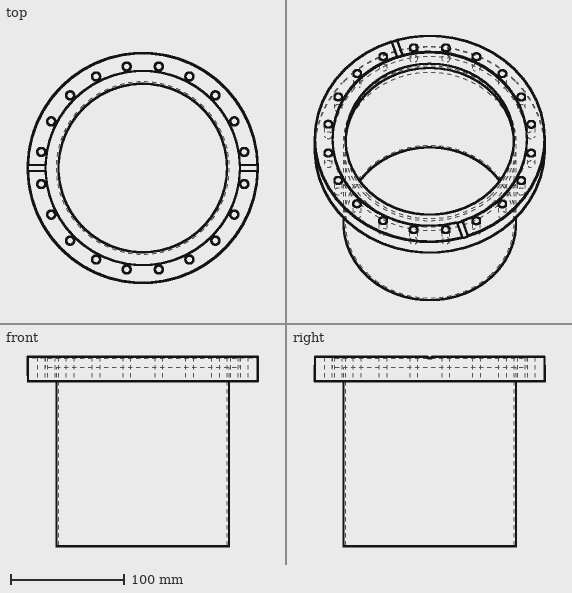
import cadquery as cq

total_height = 167.0
flange_diameter = 203.0
flange_thickness = 22.0
edge_chamfer = 0.5

tube_outer_diameter = 152.5
tube_bore = 148.4

hub_diameter = 171.3
sealing_face_diameter = 165.6
hub_recess = 0.8
hub_height = 8.5
sealing_slope_drop = 0.8

bolt_count = 20
bolt_circle_diameter = 181.0
bolt_hole_diameter = 7.0

groove_width = 5.0
groove_depth = 1.2

flange_top = total_height
flange_bottom = flange_top - flange_thickness
hub_top = flange_top - hub_recess
hub_bottom = hub_top - hub_height


def make_cylinder(diameter, bottom, top):
    return cq.Workplane("XY").workplane(offset=bottom).circle(diameter / 2).extrude(top - bottom)


def make_tube():
    """Thin tube that butts against the underside of the hub."""
    outside = make_cylinder(tube_outer_diameter, 0, hub_bottom)
    return outside.cut(make_cylinder(tube_bore, 0, hub_bottom))


def make_hub():
    """Sealing ring with a conical slope falling outward from its flat face."""
    profile = [
        (tube_bore / 2, hub_bottom),
        (hub_diameter / 2, hub_bottom),
        (hub_diameter / 2, hub_top - sealing_slope_drop),
        (sealing_face_diameter / 2, hub_top),
        (tube_bore / 2, hub_top),
    ]
    return cq.Workplane("XZ").polyline(profile).close().revolve(360, (0, 0, 0), (0, 1, 0))


def make_bolt_holes():
    half_pitch = 180 / bolt_count
    return (
        cq.Workplane("XY").workplane(offset=flange_bottom)
        .polarArray(bolt_circle_diameter / 2, half_pitch, 360, bolt_count)
        .circle(bolt_hole_diameter / 2)
        .extrude(flange_thickness)
    )


def make_leak_grooves():
    """Round bar along X that cuts a shallow groove on both sides of the flange."""
    groove_radius = ((groove_width / 2) ** 2 + groove_depth ** 2) / (2 * groove_depth)
    bar_height = flange_top - groove_depth + groove_radius
    return (
        cq.Workplane("YZ").center(0, bar_height)
        .circle(groove_radius)
        .extrude(flange_diameter / 2, both=True)
    )


def make_flange():
    """Loose bolt ring with a stepped bore: hub seat above, close fit around the tube below."""
    ring = make_cylinder(flange_diameter, flange_bottom, flange_top).edges().chamfer(edge_chamfer)
    ring = ring.cut(make_cylinder(tube_outer_diameter, flange_bottom, hub_bottom))
    ring = ring.cut(make_cylinder(hub_diameter, hub_bottom, flange_top))
    return ring.cut(make_bolt_holes()).cut(make_leak_grooves())


tube = make_tube()
hub = make_hub()
flange = make_flange()

result = cq.Compound.makeCompound([tube.val(), hub.val(), flange.val()])